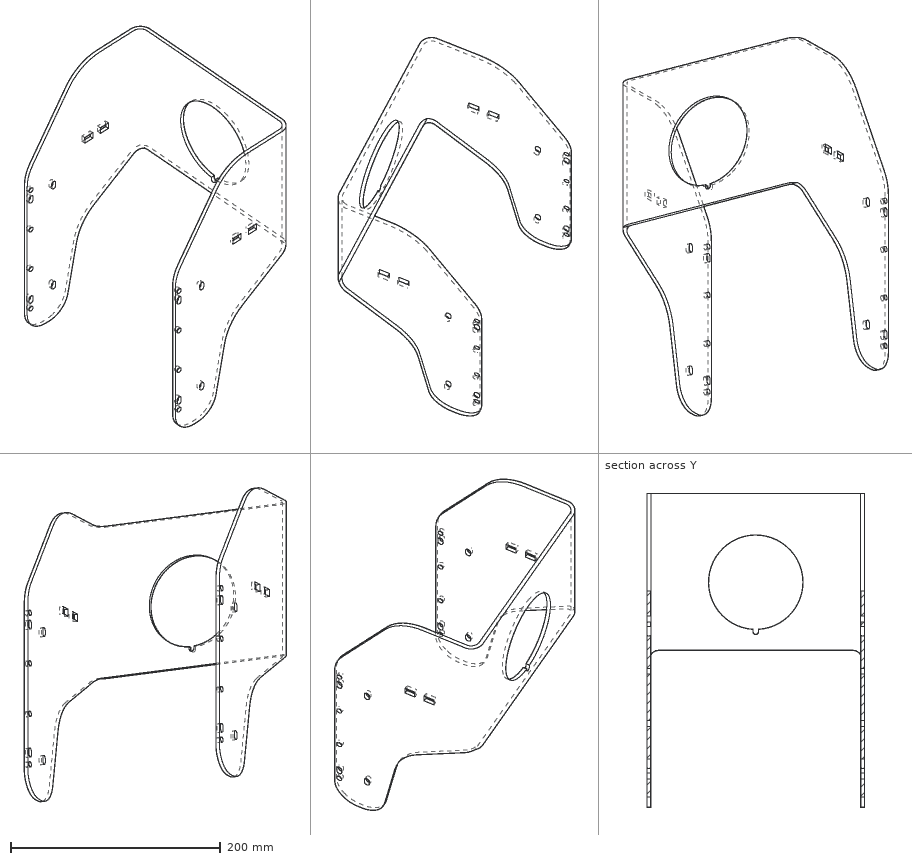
import cadquery as cq

width = 208.2
depth = 154.2
height = 300.0
thickness = 4.0
bend_inner_radius = 9.0
bend_outer_radius = bend_inner_radius + thickness

back_plate_bottom = height / 2
slope_start = depth - thickness
bevel_setback = 70.0
waist_height = height / 3
shoulder_height = 2 * height / 3
toe_width = 50.0
shoulder_top_radius = 50.0
shoulder_front_radius = 40.0
waist_radius = 52.5
toe_radius = 25.0

selection_margin = 0.3

opening_diameter = 90.0
opening_height = 215.0
keyway_width = 5.0
keyway_bottom = 165.3

hole_diameter = 5.0
slot_width = hole_diameter
mount_setback = 5.0
mount_middle = 105.0
hole_pitch = height / 6
hole_count = 4
slot_length = 8.7
slot_column_spacing = 30.0
slot_row_spacing = 126.5

window_length = 10.5
window_height = 7.0
window_spacing = 20.7
window_pair_setback = 92.0
window_level = shoulder_height


def bent_sheet():
    """Full-height U-shaped sheet, front edges at Y = 0."""
    outer = (
        cq.Workplane("XY")
        .rect(width, 2 * depth)
        .extrude(height)
        .edges("|Z and >Y")
        .fillet(bend_outer_radius)
    )
    inner = (
        cq.Workplane("XY")
        .rect(width - 2 * thickness, 2 * (depth - thickness))
        .extrude(height)
        .edges("|Z and >Y")
        .fillet(bend_inner_radius)
    )
    front_half = cq.Workplane("XY").box(width, depth, height, centered=(True, False, False))
    return outer.cut(inner).intersect(front_half)


def round_corner(body, y, z, radius):
    """Round the side outline corner at (y, z)."""
    near_end = (-width, y - selection_margin, z - selection_margin)
    far_end = (width, y + selection_margin, z + selection_margin)
    corner = cq.selectors.BoxSelector(near_end, far_end)
    return body.edges("|X").edges(corner).fillet(radius)


def side_outline():
    """Side plate silhouette, extruded across the whole width."""
    toe_back = (toe_width, 0)
    waist = (bevel_setback, waist_height)
    shoulder_top = (bevel_setback, height)
    shoulder_front = (0, shoulder_height)
    toe_front = (0, 0)
    points = [
        toe_front,
        toe_back,
        waist,
        (slope_start, back_plate_bottom),
        (depth, back_plate_bottom),
        (depth, height),
        shoulder_top,
        shoulder_front,
    ]
    body = cq.Workplane("YZ").polyline(points).close().extrude(width / 2, both=True)
    rounded_corners = [
        (toe_front, toe_radius),
        (toe_back, toe_radius),
        (waist, waist_radius),
        (shoulder_top, shoulder_top_radius),
        (shoulder_front, shoulder_front_radius),
    ]
    for (y, z), radius in rounded_corners:
        body = round_corner(body, y, z, radius)
    return body


def back_opening():
    """Round opening with a round-ended keyway at its lowest point."""
    keyway_end = keyway_bottom + keyway_width / 2
    keyway_length = opening_height - keyway_end
    plane = cq.Workplane("XZ", origin=(0, depth, 0))
    opening = plane.center(0, opening_height).circle(opening_diameter / 2).extrude(2 * thickness)
    keyway = (
        plane.center(0, keyway_end + keyway_length / 2)
        .slot2D(keyway_length + keyway_width, keyway_width, 90)
        .extrude(2 * thickness)
    )
    return opening.union(keyway)


def side_cutouts():
    """Holes, slots and windows passing through both side plates."""
    plane = cq.Workplane("YZ")
    holes = (
        plane.center(mount_setback, mount_middle)
        .rarray(3, hole_pitch, 1, hole_count)
        .circle(hole_diameter / 2)
        .extrude(width, both=True)
    )
    slots = (
        plane.center(mount_setback + slot_column_spacing / 2, mount_middle)
        .rarray(slot_column_spacing, slot_row_spacing, 2, 2)
        .slot2D(slot_length, slot_width, 90)
        .extrude(width, both=True)
    )
    windows = (
        plane.center(window_pair_setback, window_level)
        .rarray(window_spacing, 3, 2, 1)
        .rect(window_length, window_height)
        .extrude(width, both=True)
    )
    return holes.union(slots).union(windows)


result = bent_sheet().intersect(side_outline()).cut(back_opening()).cut(side_cutouts())